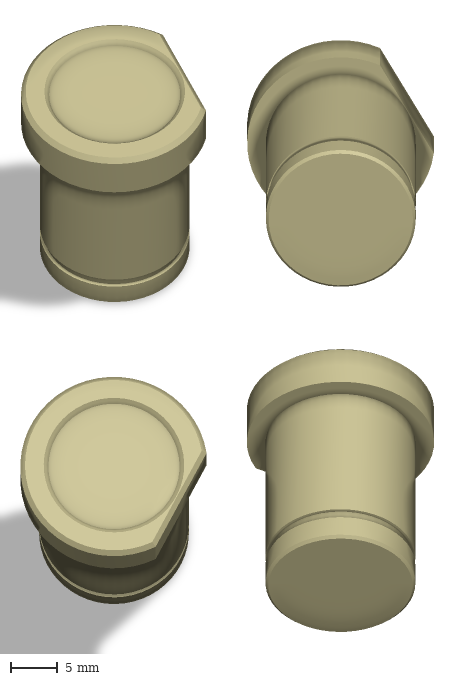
import cadquery as cq

total_height = 25.0

head_diameter = 20.0
head_height = 5.0
head_chamfer = 0.5
flat_offset = 8.08

recess_top_diameter = 15.0
recess_depth = 0.5
recess_floor_diameter = recess_top_diameter - 2 * recess_depth

shank_diameter = 16.0
shank_chamfer = 0.3

groove_diameter = 15.25
groove_bottom = 2.75
groove_width = 1.1


def make_head():
    """Disc with one flat, chamfered all round its top edge."""
    head_bottom = total_height - head_height
    disc = cq.Workplane("XY").workplane(offset=head_bottom).circle(head_diameter / 2).extrude(head_height)
    beyond_flat = (
        cq.Workplane("XY")
        .box(head_diameter, head_diameter, head_height, centered=(True, False, False))
        .translate((0, flat_offset, head_bottom))
    )
    return disc.cut(beyond_flat).faces(">Z").edges().chamfer(head_chamfer)


def make_shank():
    """Cylinder with a chamfered lower end, reaching up to the head."""
    shank_height = total_height - head_height
    shank = cq.Workplane("XY").circle(shank_diameter / 2).extrude(shank_height)
    return shank.faces("<Z").chamfer(shank_chamfer)


def make_groove():
    """Ring of material removed from around the shank."""
    return (
        cq.Workplane("XY")
        .workplane(offset=groove_bottom)
        .circle(shank_diameter / 2)
        .circle(groove_diameter / 2)
        .extrude(groove_width)
    )


def make_recess():
    """Flat-floored cone that narrows downward from the top face."""
    return (
        cq.Workplane("XY")
        .workplane(offset=total_height - recess_depth)
        .circle(recess_floor_diameter / 2)
        .workplane(offset=recess_depth)
        .circle(recess_top_diameter / 2)
        .loft(ruled=True)
    )


result = make_head().union(make_shank()).cut(make_groove()).cut(make_recess())